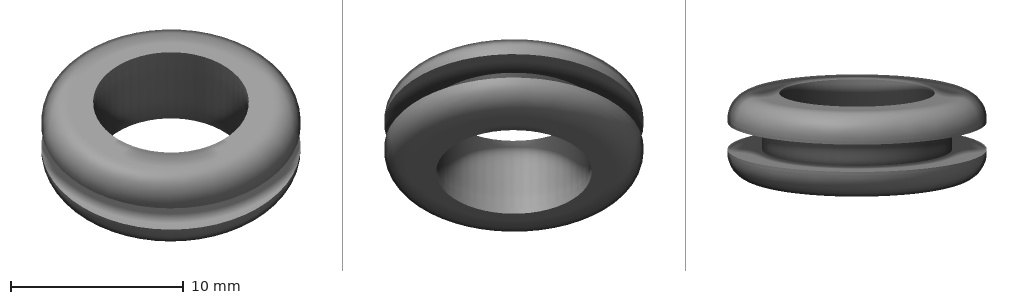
import cadquery as cq

outer_diameter = 15.0
bore_diameter = 9.0
groove_diameter = 11.0
height = 5.0
groove_width = 1.6
edge_radius = 1.5

body = (
    cq.Workplane("XY")
    .cylinder(height, outer_diameter / 2)
    .edges("%CIRCLE")
    .fillet(edge_radius)
)

bore = cq.Workplane("XY").cylinder(height, bore_diameter / 2)

groove = (
    cq.Workplane("XY")
    .cylinder(groove_width, outer_diameter / 2)
    .cut(cq.Workplane("XY").cylinder(groove_width, groove_diameter / 2))
)

result = body.cut(bore).cut(groove)